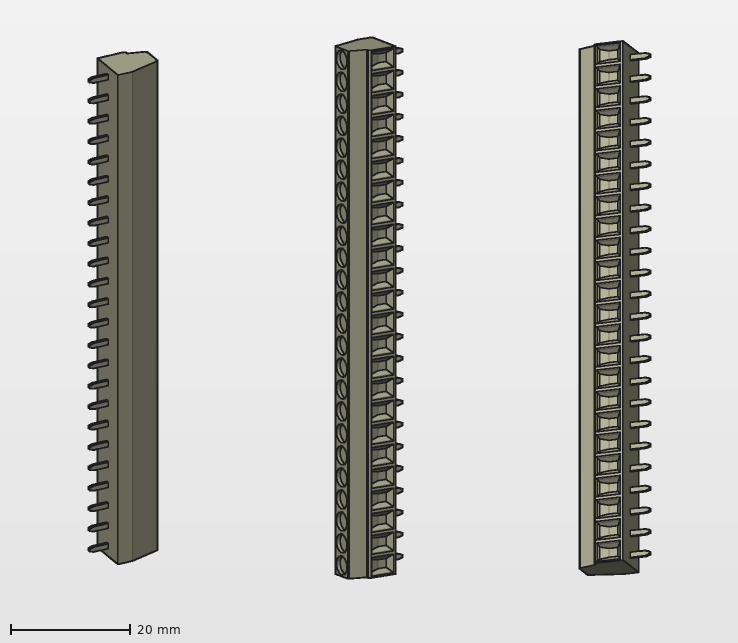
import cadquery as cq

pole_count = 24
length = 91.4
pitch = length / pole_count
width = 7.3
body_depth = 8.5
pin_length = 3.5

wire_side_x = -width / 2
far_side_x = width / 2
ledge_y = 5.3
ledge_chamfer_x = 0.3
ledge_chamfer_y = 0.4
slope_foot_x = -2.9
crown_left_x = -1.9
crown_right_x = 1.8
crown_chamfer = 0.2
far_shoulder_y = 2.7

rib = 0.55
mouth_half_height = (pitch - rib) / 2
rim_inset_z = 0.2
rim_half_height = mouth_half_height - rim_inset_z
throat_half_height = 0.78
mouth_low_y = 0.5
mouth_high_y = 4.9
rim_high_y = 4.7
knee_y = 4.4
throat_low_y = 1.3
throat_high_y = 2.9
rim_depth = 0.2
knee_depth = 0.6
funnel_depth = 1.0

pin_x = -0.1
pin_thickness = 0.55
pin_height = 0.9
pin_tip_length = 0.7
pin_tip_height = 0.5
pin_root_depth = 0.9

screw_x = -0.1
screw_diameter = 3.2
screw_recess_depth = 0.7


def make_body():
    outline = [
        (wire_side_x, 0),
        (far_side_x, 0),
        (far_side_x, far_shoulder_y),
        (crown_right_x + crown_chamfer, body_depth - crown_chamfer),
        (crown_right_x, body_depth),
        (crown_left_x, body_depth),
        (crown_left_x - crown_chamfer, body_depth - crown_chamfer),
        (slope_foot_x, ledge_y),
        (wire_side_x + ledge_chamfer_x, ledge_y),
        (wire_side_x, ledge_y - ledge_chamfer_y),
    ]
    return cq.Workplane("XY").polyline(outline).close().extrude(length)


def make_funnel(z):
    """Intersection of a prism along Z, for the Y walls, and a prism along Y, for the Z walls."""
    knee_x = wire_side_x + knee_depth
    rim_x = wire_side_x + rim_depth
    floor_x = wire_side_x + funnel_depth
    y_walls = [
        (wire_side_x, mouth_low_y),
        (floor_x, throat_low_y),
        (floor_x, throat_high_y),
        (knee_x, knee_y),
        (rim_x, rim_high_y),
        (wire_side_x, mouth_high_y),
    ]
    z_walls = [
        (wire_side_x, z - mouth_half_height),
        (rim_x, z - rim_half_height),
        (floor_x, z - throat_half_height),
        (floor_x, z + throat_half_height),
        (rim_x, z + rim_half_height),
        (wire_side_x, z + mouth_half_height),
    ]
    along_z = (cq.Workplane("XY", origin=(0, 0, z - mouth_half_height))
               .polyline(y_walls).close().extrude(2 * mouth_half_height))
    along_y = cq.Workplane("XZ").polyline(z_walls).close().extrude(-body_depth)
    return along_z.intersect(along_y)


def make_pin(z):
    shank_end = pin_tip_length - pin_length
    side = [
        (pin_root_depth, z - pin_height / 2),
        (pin_root_depth, z + pin_height / 2),
        (shank_end, z + pin_height / 2),
        (-pin_length, z + pin_tip_height / 2),
        (-pin_length, z - pin_tip_height / 2),
        (shank_end, z - pin_height / 2),
    ]
    return (cq.Workplane("YZ", origin=(pin_x - pin_thickness / 2, 0, 0))
            .polyline(side).close().extrude(pin_thickness))


def make_screw_recess(z):
    return (cq.Workplane("XZ", origin=(screw_x, body_depth, z))
            .circle(screw_diameter / 2).extrude(screw_recess_depth))


result = make_body()
for pole in range(pole_count):
    z = (pole + 0.5) * pitch
    result = result.cut(make_funnel(z)).cut(make_screw_recess(z)).union(make_pin(z))